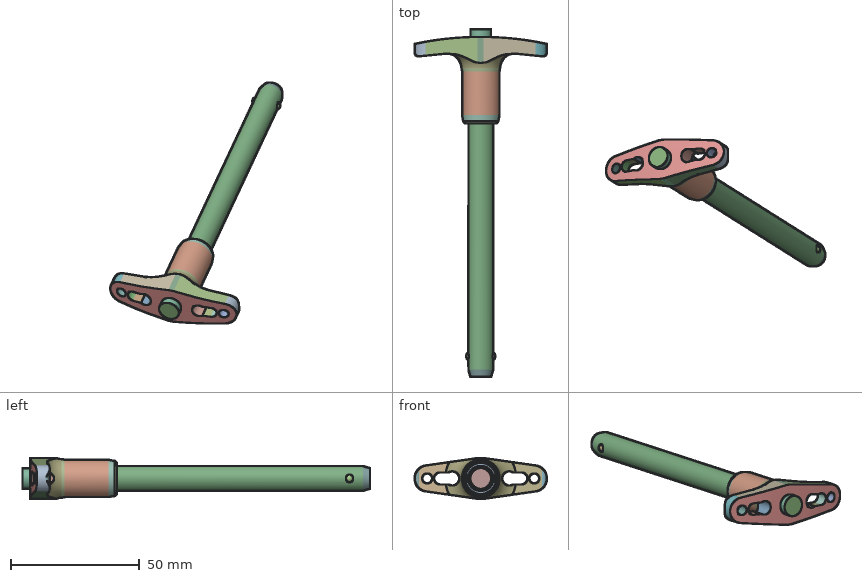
import cadquery as cq
import math


total_length = 135.0
handle_span = 51.5
handle_height = 15.9

button_radius = 4.0
button_length = 3.0

pin_radius = 4.9
tip_radius = 4.0
tip_length = 2.7
tip_y = button_length - total_length
ball_radius = 1.6
ball_offset = 4.0
ball_setback = 8.0
ball_y = tip_y + ball_setback

handle_end_radius = 5.1
center_flat_half = 1.1
crown_radius = 121.5
end_bottom_y = -7.8
grip_slope = 0.1
bottom_edge_fillet = 1.6

collar_radius = 7.5
collar_top_y = -12.3
collar_bottom_y = -13.5
sleeve_radius = 7.3
sleeve_bottom_y = -30.5
ring_radius = 6.9
ring_bottom_y = -32.8
ring_end_radius = 6.1
ring_end_y = -33.8
flare_radius = 5.7
flare_top_y = -4.0

hole_x = 20.8
hole_radius = 1.9
slot_outer_x = 15.8
slot_half_width = 2.3
slot_bulge_x = 11.1
slot_bulge_radius = 2.7

end_x = handle_span / 2
end_center_x = end_x - handle_end_radius


def disc(x, radius, depth):
    """Cylinder along Y, from Y = 0 down to -depth, centred at x."""
    return cq.Workplane("XZ").center(x, 0).circle(radius).extrude(depth)


def handle_outline(depth):
    """Tapered plan of the handle with rounded ends, extruded along -Y."""
    half_height = handle_height / 2
    run = end_center_x - center_flat_half
    reach = math.hypot(run, half_height)
    side_angle = math.atan2(half_height, run) - math.asin(handle_end_radius / reach)
    tangent_x = end_center_x + handle_end_radius * math.sin(side_angle)
    tangent_z = handle_end_radius * math.cos(side_angle)
    return (
        cq.Workplane("XZ")
        .moveTo(-center_flat_half, half_height)
        .lineTo(center_flat_half, half_height)
        .lineTo(tangent_x, tangent_z)
        .threePointArc((end_x, 0), (tangent_x, -tangent_z))
        .lineTo(center_flat_half, -half_height)
        .lineTo(-center_flat_half, -half_height)
        .lineTo(-tangent_x, -tangent_z)
        .threePointArc((-end_x, 0), (-tangent_x, tangent_z))
        .close()
        .extrude(depth)
    )


def grip_bottom(x):
    """Y of the sloping underside of the grip at distance x from the axis."""
    return end_bottom_y + grip_slope * (end_x - x)


def handle_bar():
    """Handle arms: arched crown above, sloping underside with rounded tips below."""
    crown_end_y = math.sqrt(crown_radius**2 - end_x**2) - crown_radius
    side_profile = (
        cq.Workplane("XY")
        .moveTo(-end_x, crown_end_y)
        .threePointArc((0, 0), (end_x, crown_end_y))
        .lineTo(end_x, end_bottom_y)
        .lineTo(0, grip_bottom(0))
        .lineTo(-end_x, end_bottom_y)
        .close()
        .extrude(handle_height / 2, both=True)
    )
    rounded = side_profile.faces("<X or >X").edges("|Z and <Y").fillet(bottom_edge_fillet)
    return rounded.intersect(handle_outline(-end_bottom_y))


def flare():
    """Revolved concave blend from the collar to the grip, trimmed to the plan."""
    slope_angle = math.atan(grip_slope)
    center_x = collar_radius + flare_radius
    center_y = collar_top_y
    rim_x = center_x + flare_radius * math.sin(slope_angle)
    rim_y = center_y + flare_radius * math.cos(slope_angle)
    middle_angle = (3 * math.pi / 2 - slope_angle) / 2
    middle = (
        center_x + flare_radius * math.cos(middle_angle),
        center_y + flare_radius * math.sin(middle_angle),
    )
    return (
        cq.Workplane("XY")
        .moveTo(0, collar_top_y)
        .lineTo(collar_radius, collar_top_y)
        .threePointArc(middle, (rim_x, rim_y))
        .lineTo(rim_x, flare_top_y)
        .lineTo(0, flare_top_y)
        .close()
        .revolve(360, (0, 0), (0, 1))
        .intersect(handle_outline(-collar_top_y))
    )


def sleeve_and_pin():
    """Collar, sleeve, end ring, shank, tapered tip and button as one turned body."""
    profile = [
        (0, button_length),
        (button_radius, button_length),
        (button_radius, collar_top_y),
        (collar_radius, collar_top_y),
        (sleeve_radius, collar_bottom_y),
        (sleeve_radius, sleeve_bottom_y),
        (ring_radius, ring_bottom_y),
        (ring_end_radius, ring_end_y),
        (pin_radius, ring_end_y),
        (pin_radius, tip_y + tip_length),
        (tip_radius, tip_y),
        (0, tip_y),
    ]
    return cq.Workplane("XY").polyline(profile).close().revolve(360, (0, 0), (0, 1))


def arm_openings(side):
    """Lanyard hole and keyhole-shaped slot through the arm on one side."""
    depth = -collar_top_y
    slot_length = slot_outer_x - slot_bulge_x
    slot_middle = side * (slot_outer_x + slot_bulge_x) / 2
    neck = cq.Workplane("XZ").center(slot_middle, 0).rect(slot_length, 2 * slot_half_width).extrude(depth)
    return (
        neck.union(disc(side * slot_outer_x, slot_half_width, depth))
        .union(disc(side * slot_bulge_x, slot_bulge_radius, depth))
        .union(disc(side * hole_x, hole_radius, depth))
    )


handle = handle_bar().union(flare())
for side in (-1, 1):
    handle = handle.cut(arm_openings(side))

result = handle.union(sleeve_and_pin())
for side in (-1, 1):
    ball = cq.Workplane("XY").sphere(ball_radius).translate((side * ball_offset, ball_y, 0))
    result = result.union(ball)